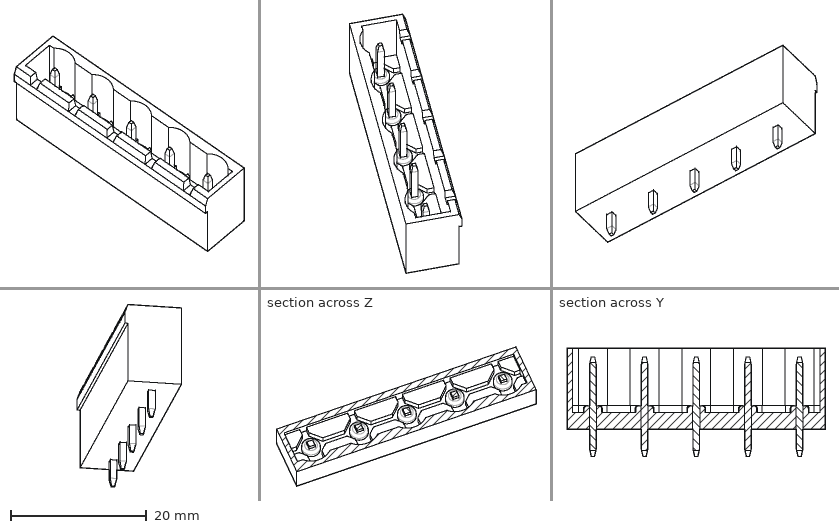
import cadquery as cq

pin_count = 5
pitch = 7.62
length = pin_count * pitch
housing_height = 12.0
back_y = 3.8
front_y = -4.23
pin_x_positions = [(i - (pin_count - 1) / 2) * pitch for i in range(pin_count)]

lip_overhang = 0.45
lip_height = 2.97
lip_bevel_height = 1.3
lip_front_y = front_y - lip_overhang

end_wall = 0.85
front_wall = 1.1
back_wall = 1.68
floor_thickness = 3.5
scallop_radius = 3.0
cavity_front_y = front_y + front_wall
cavity_back_y = back_y - back_wall

notch_top_width = 1.85
notch_bottom_width = 1.22

channel_depth = 1.0
channel_bottom_z = floor_thickness - channel_depth
channel_half_width = 0.55
back_channel_half_width = 1.15
bay_half_width = 2.1
bay_reach = bay_half_width + channel_half_width

boss_diameter = 2.8
boss_height = channel_depth
boss_round = 0.45

pin_width = 1.0
pin_bottom_z = -4.0
pin_top_z = 10.7
tip_length = 1.1
tip_width = 0.5


def make_block():
    """Solid block with the bevelled lip along its front top edge."""
    lip_bottom_z = housing_height - lip_height
    bevel_bottom_z = housing_height - lip_bevel_height
    return (
        cq.Workplane("YZ")
        .workplane(offset=-length / 2)
        .polyline([
            (back_y, 0),
            (back_y, housing_height),
            (front_y, housing_height),
            (lip_front_y, bevel_bottom_z),
            (lip_front_y, lip_bottom_z),
            (front_y, lip_bottom_z),
            (front_y, 0),
        ])
        .close()
        .extrude(length)
    )


def make_cavity_box(bottom_z, box_back_y):
    """Box between the end walls, from the front wall to box_back_y and from bottom_z to the top."""
    return (
        cq.Workplane("XY")
        .workplane(offset=bottom_z)
        .center(0, (cavity_front_y + box_back_y) / 2)
        .rect(length - 2 * end_wall, box_back_y - cavity_front_y)
        .extrude(housing_height - bottom_z)
    )


def make_cavity(bottom_z):
    """Cavity with its scalloped back wall, from bottom_z to the top."""
    scallops = (
        cq.Workplane("XY")
        .workplane(offset=bottom_z)
        .pushPoints([(x, 0) for x in pin_x_positions])
        .circle(scallop_radius)
        .extrude(housing_height - bottom_z)
        .intersect(make_cavity_box(bottom_z, back_y))
    )
    return make_cavity_box(bottom_z, cavity_back_y).union(scallops)


def make_channels():
    """Long channel through all pins, widening to a bay with branches to front and back at each one."""
    channels = (
        cq.Workplane("XY")
        .workplane(offset=channel_bottom_z)
        .rect(length, 2 * channel_half_width)
        .extrude(channel_depth)
    )
    right_side = [
        (channel_half_width, front_y),
        (channel_half_width, channel_half_width - bay_reach),
        (bay_half_width, -channel_half_width),
        (bay_half_width, channel_half_width),
        (back_channel_half_width, bay_reach - back_channel_half_width),
        (back_channel_half_width, back_y),
    ]
    left_side = [(-x, y) for x, y in reversed(right_side)]
    for pin_x in pin_x_positions:
        bay = (
            cq.Workplane("XY", origin=(pin_x, 0, channel_bottom_z))
            .polyline(right_side + left_side)
            .close()
            .extrude(channel_depth)
        )
        channels = channels.union(bay)
    return channels.intersect(make_cavity(channel_bottom_z))


def make_notch(pin_x):
    """Cutter for one notch, narrower at its floor than at the top of the wall."""
    return (
        cq.Workplane("XZ", origin=(pin_x, cavity_front_y, housing_height))
        .polyline([
            (-notch_top_width / 2, 0),
            (notch_top_width / 2, 0),
            (notch_bottom_width / 2, -lip_bevel_height),
            (-notch_bottom_width / 2, -lip_bevel_height),
        ])
        .close()
        .extrude(front_wall + lip_overhang)
    )


def make_boss(pin_x):
    """Boss with a rounded top edge, standing on the channel bottom."""
    return (
        cq.Workplane("XY", origin=(pin_x, 0, channel_bottom_z))
        .circle(boss_diameter / 2)
        .extrude(boss_height)
        .faces(">Z")
        .edges()
        .fillet(boss_round)
    )


def make_pin(pin_x):
    """One square pin, tapered at both ends."""
    shaft_bottom_z = pin_bottom_z + tip_length
    shaft_top_z = pin_top_z - tip_length
    shaft = (
        cq.Workplane("XY", origin=(pin_x, 0, shaft_bottom_z))
        .rect(pin_width, pin_width)
        .extrude(shaft_top_z - shaft_bottom_z)
    )
    top_tip = (
        cq.Workplane("XY", origin=(pin_x, 0, shaft_top_z))
        .rect(pin_width, pin_width)
        .workplane(offset=tip_length)
        .rect(tip_width, tip_width)
        .loft()
    )
    bottom_tip = (
        cq.Workplane("XY", origin=(pin_x, 0, shaft_bottom_z))
        .rect(pin_width, pin_width)
        .workplane(offset=-tip_length)
        .rect(tip_width, tip_width)
        .loft()
    )
    return shaft.union(top_tip).union(bottom_tip)


def make_housing(pins):
    """Housing with one close-fitting hole for each pin."""
    housing = make_block().cut(make_cavity(floor_thickness)).cut(make_channels())
    for pin_x, pin in zip(pin_x_positions, pins):
        housing = housing.cut(make_notch(pin_x)).union(make_boss(pin_x)).cut(pin)
    return housing


pins = [make_pin(x) for x in pin_x_positions]
housing = make_housing(pins)

result = cq.Compound.makeCompound([housing.val(), *[pin.val() for pin in pins]])